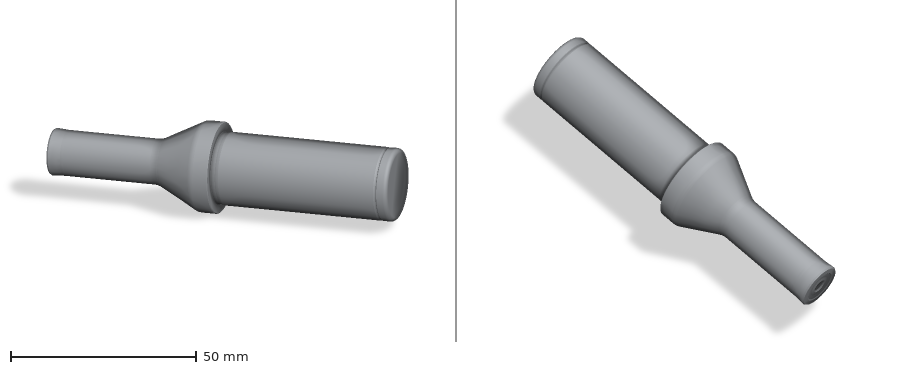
import cadquery as cq
import math

TOTAL_LENGTH = 98.0
HEAD_LENGTH = 4.8
FLANGE_BACK = 47.8

TIP_DIAMETER = 12.9
TIP_FACE_DIAMETER = 12.3
TIP_FACE_SETBACK = 0.1
TIP_CHAMFER_LENGTH = 0.6
TAPER_END = 3.9
NECK_DIAMETER = 12.4

DISH_DIAMETER = 9.3
DISH_WALL_WIDTH = 0.3
DISH_DEPTH = 0.2
DISH_FLOOR_DIAMETER = 6.3
DISH_FLOOR_DEPTH = 0.3
POCKET_RIM_DEPTH = 0.2
POCKET_DIAMETER = 4.0
POCKET_WALL_WIDTH = 0.4
POCKET_DEPTH = 0.6
POCKET_CENTRE_DEPTH = 0.8

FLANGE_DIAMETER = 25.0
FLANGE_EDGE_CHAMFER = 0.2
ROOT_CHAMFER = 0.2
CONE_ANGLE = 27.5
NECK_BLEND_START = 29.5
NECK_BLEND_RADIUS = 4.9
CONE_BLEND_END = 43.6
CONE_BLEND_RADIUS = 3.1

SHANK_DIAMETER = 20.0
RELIEF_DIAMETER = 19.5
RELIEF_END = 50.1
RELIEF_RAMP_LENGTH = 1.0
GROOVE_START = 94.2
GROOVE_END = 95.1
GROOVE_DEPTH = 0.3
GROOVE_WALL_LENGTH = 0.3
END_FILLET = 1.2


def make_head():
    """Cutter head with a back taper and a stepped, dished tip face."""
    dish_radius = DISH_DIAMETER / 2
    pocket_radius = POCKET_DIAMETER / 2
    neck_radius = NECK_DIAMETER / 2
    profile = [
        (POCKET_CENTRE_DEPTH, 0),
        (POCKET_DEPTH, pocket_radius - POCKET_WALL_WIDTH),
        (POCKET_RIM_DEPTH, pocket_radius),
        (DISH_FLOOR_DEPTH, DISH_FLOOR_DIAMETER / 2),
        (DISH_DEPTH, dish_radius - DISH_WALL_WIDTH),
        (0, dish_radius),
        (TIP_FACE_SETBACK, TIP_FACE_DIAMETER / 2),
        (TIP_CHAMFER_LENGTH, TIP_DIAMETER / 2),
        (TAPER_END, neck_radius),
        (HEAD_LENGTH, neck_radius),
        (HEAD_LENGTH, 0),
    ]
    return cq.Workplane("XY").polyline(profile).close().revolve(360, (0, 0, 0), (1, 0, 0))


def make_holder():
    """Holder with a slim neck, conical flange and cylindrical shank."""
    neck_radius = NECK_DIAMETER / 2
    flange_radius = FLANGE_DIAMETER / 2
    shank_radius = SHANK_DIAMETER / 2
    relief_radius = RELIEF_DIAMETER / 2
    groove_radius = shank_radius - GROOVE_DEPTH
    slope = math.radians(CONE_ANGLE)

    def arc_offset(radius, angle):
        """Axial and radial distance from an arc's axial tangent point."""
        return radius * math.sin(angle), radius * (1 - math.cos(angle))

    def neck_point(angle):
        axial, radial = arc_offset(NECK_BLEND_RADIUS, angle)
        return NECK_BLEND_START + axial, neck_radius + radial

    def flange_point(angle):
        axial, radial = arc_offset(CONE_BLEND_RADIUS, angle)
        return CONE_BLEND_END - axial, flange_radius - radial

    fillet_middle = END_FILLET * (1 - math.sqrt(0.5))
    return (
        cq.Workplane("XY")
        .moveTo(HEAD_LENGTH, 0)
        .lineTo(HEAD_LENGTH, neck_radius)
        .lineTo(NECK_BLEND_START, neck_radius)
        .threePointArc(neck_point(slope / 2), neck_point(slope))
        .lineTo(*flange_point(slope))
        .threePointArc(flange_point(slope / 2), (CONE_BLEND_END, flange_radius))
        .lineTo(FLANGE_BACK - FLANGE_EDGE_CHAMFER, flange_radius)
        .lineTo(FLANGE_BACK, flange_radius - FLANGE_EDGE_CHAMFER)
        .lineTo(FLANGE_BACK, relief_radius + ROOT_CHAMFER)
        .lineTo(FLANGE_BACK + ROOT_CHAMFER, relief_radius)
        .lineTo(RELIEF_END - RELIEF_RAMP_LENGTH, relief_radius)
        .lineTo(RELIEF_END, shank_radius)
        .lineTo(GROOVE_START, shank_radius)
        .lineTo(GROOVE_END - GROOVE_WALL_LENGTH, groove_radius)
        .lineTo(GROOVE_END, shank_radius)
        .lineTo(TOTAL_LENGTH - END_FILLET, shank_radius)
        .threePointArc(
            (TOTAL_LENGTH - fillet_middle, shank_radius - fillet_middle),
            (TOTAL_LENGTH, shank_radius - END_FILLET),
        )
        .lineTo(TOTAL_LENGTH, 0)
        .close()
        .revolve(360, (0, 0, 0), (1, 0, 0))
    )


head = make_head()
holder = make_holder()
result = cq.Compound.makeCompound([head.val(), holder.val()])